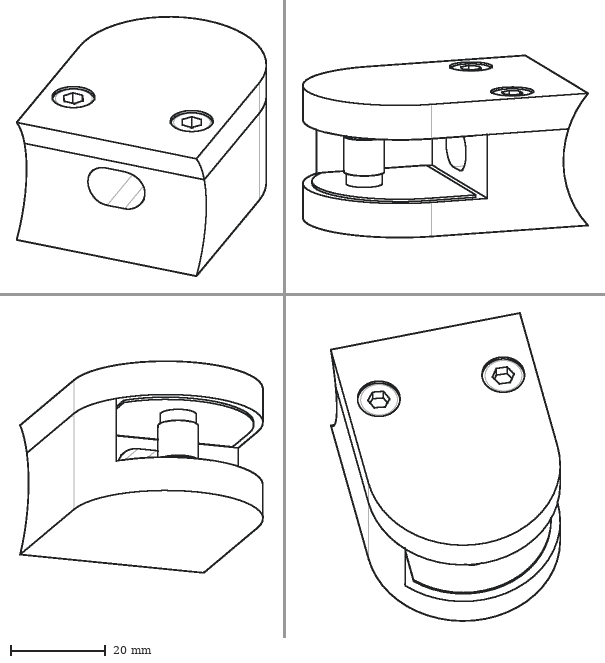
import cadquery as cq
import math


width = 41.0
length = 55.5
height = 28.5
end_radius = width / 2
end_center_y = length - end_radius

post_radius = 21.2
post_axis_y = -math.sqrt(post_radius**2 - (height / 2) ** 2)

plate_thickness = 7.4
gap_height = height - 2 * plate_thickness
gap_top_z = gap_height / 2
gap_start_y = 22.5
stop_wall_end_y = 48.3
stop_wall_x = math.sqrt(end_radius**2 - (stop_wall_end_y - end_center_y) ** 2)

slot_width = 13.0
slot_height = 9.0

screw_offset_x = 13.5
screw_y = 14.55
screw_recess = 0.3
head_diameter = 9.0
head_height = 5.0
head_fillet = 0.6
shank_diameter = 5.0
shank_length = 10.0
socket_across_flats = 4.0
socket_across_corners = socket_across_flats / math.cos(math.pi / 6)
socket_depth = 2.5
left_socket_turn = -3.5
right_socket_turn = -8.0
head_top_z = height / 2 - screw_recess
head_seat_z = head_top_z - head_height
shank_end_z = head_seat_z - shank_length

pad_thickness = 0.5
pad_margin = 1.95
pad_face_z = gap_top_z - pad_thickness

pin_y = 42.95
pin_end_diameter = 7.65
pin_middle_diameter = 8.55
pin_middle_length = 7.7


def round_ended_plate(half_width, start_y, bottom_z, top_z):
    """Plate with a straight end at start_y and a half-round end about the clamp's end centre."""
    return (
        cq.Workplane("XY", origin=(0, 0, bottom_z))
        .moveTo(-half_width, start_y)
        .lineTo(half_width, start_y)
        .lineTo(half_width, end_center_y)
        .threePointArc((0, end_center_y + half_width), (-half_width, end_center_y))
        .close()
        .extrude(top_z - bottom_z)
    )


def cylinder(diameter, x, y, bottom_z, top_z):
    return cq.Workplane("XY", origin=(x, y, bottom_z)).circle(diameter / 2).extrude(top_z - bottom_z)


def cut_post_face(body):
    post = cq.Workplane("YZ").center(post_axis_y, 0).circle(post_radius).extrude(width, both=True)
    return body.cut(post)


def cut_screw_holes(body):
    for x in (-screw_offset_x, screw_offset_x):
        head_hole = cylinder(head_diameter, x, screw_y, head_seat_z, height / 2)
        shank_hole = cylinder(shank_diameter, x, screw_y, shank_end_z, head_seat_z)
        body = body.cut(head_hole).cut(shank_hole)
    return body


def make_base():
    """Lower plate, block behind the glass and stop wall in one piece."""
    base = cut_post_face(round_ended_plate(end_radius, 0, -height / 2, gap_top_z))
    gap = cq.Workplane("XY").box(
        stop_wall_x + end_radius, length - gap_start_y, gap_height, centered=(False, False, True)
    )
    base = base.cut(gap.translate((-end_radius, gap_start_y, 0)))
    slot = cq.Workplane("XZ").slot2D(slot_width, slot_height).extrude(-gap_start_y)
    return cut_screw_holes(base.cut(slot))


def make_cover():
    cover = round_ended_plate(end_radius, 0, gap_top_z, height / 2)
    return cut_screw_holes(cut_post_face(cover))


def make_screw(x, socket_turn):
    head = cylinder(head_diameter, x, screw_y, head_seat_z, head_top_z).faces(">Z").edges().fillet(head_fillet)
    shank = cylinder(shank_diameter, x, screw_y, shank_end_z, head_seat_z)
    socket = (
        cq.Workplane("XY", origin=(x, screw_y, head_top_z))
        .transformed(rotate=(0, 0, socket_turn))
        .polygon(6, socket_across_corners)
        .extrude(-socket_depth)
    )
    return head.union(shank).cut(socket)


def make_pad(bottom_z):
    pad = round_ended_plate(
        end_radius - pad_margin, gap_start_y + pad_margin, bottom_z, bottom_z + pad_thickness
    )
    wall_clearance = cq.Workplane("XY").box(
        width, length, pad_thickness, centered=(False, False, False)
    )
    return pad.cut(wall_clearance.translate((stop_wall_x - pad_margin, 0, bottom_z)))


def make_pin():
    ends = cylinder(pin_end_diameter, 0, pin_y, -pad_face_z, pad_face_z)
    middle = cylinder(pin_middle_diameter, 0, pin_y, -pin_middle_length / 2, pin_middle_length / 2)
    return ends.union(middle)


base = make_base()
cover = make_cover()
screws = [
    make_screw(x, turn)
    for x, turn in ((-screw_offset_x, left_socket_turn), (screw_offset_x, right_socket_turn))
]
pads = [make_pad(bottom_z) for bottom_z in (-gap_top_z, pad_face_z)]
pin = make_pin()

result = cq.Compound.makeCompound(
    [
        base.val(),
        cover.val(),
        *[screw.val() for screw in screws],
        *[pad.val() for pad in pads],
        pin.val(),
    ]
)